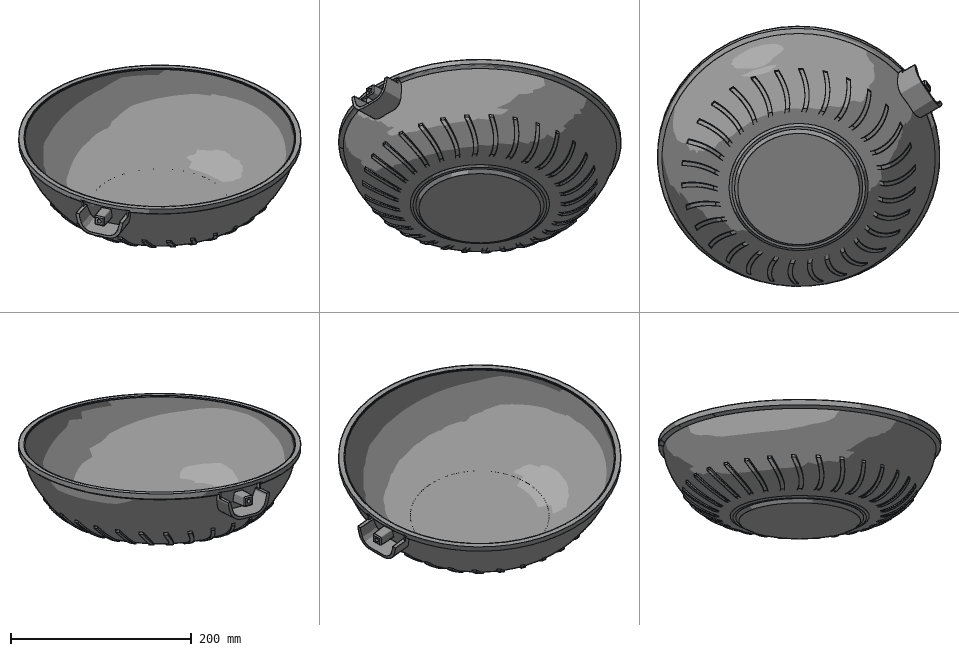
import cadquery as cq
import math


TOTAL_HEIGHT = 92.42
RIM_RADIUS = 156.315
RIM_BAND_HEIGHT = 6.2
RIM_INNER_RADIUS = 150.4
LIP_DEPTH = 1.5
LIP_RADIUS = 149.2
NECK_RADIUS = 151.2
NECK_Z = TOTAL_HEIGHT - 9.0
RIM_SWEEP = (152.9, NECK_Z + 1.5)
WALL_TOP_RADIUS = 152.0
BELLY_Z = 42.8
BELLY_RADIUS = 134.0
UPPER_BULGE = (144.6, 60.1)
LOWER_BULGE = (114.8, 20.9)
SHOULDER_RADIUS = 77.0
SHOULDER_Z = 5.5
FOOT_TOP_RADIUS = 70.9
UNDERSIDE_RADIUS = 74.0
FOOT_HEIGHT = 3.9
FOOT_RADIUS = 67.4
FLOOR_RADIUS = 66.4
FLOOR_Z = 5.0
DISH_RADIUS = 81.0
DISH_Z = 7.6
INNER_NECK_RADIUS = 149.0
INNER_NECK_Z = TOTAL_HEIGHT - 8.4
INNER_BELLY_RADIUS = 133.3
INNER_BELLY_Z = 44.6
WALL = 2.0
CAVITY_SECTORS = 2

RIB_COUNT = 30
RIB_PITCH = 360.0 / RIB_COUNT
RIB_WIDTH = 4.8
RIB_FIRST_ANGLE = 5.5
RIB_BOTTOM_Z = 8.2
RIB_OUTER = (-4.6, 129.8)
RIB_MIDDLE = (2.8, 112.8)
RIB_INNER = (-0.7, 86.3)
CREST_REACH = 12.0
CREST_TOP_RADIUS = BELLY_RADIUS + 1.8
CREST_BULGE = (115.7, 19.6)
CREST_BOTTOM_Z = SHOULDER_Z - 1.0

SOCKET_END = 326.46 - RIM_RADIUS
SOCKET_WALL_TOP_Z = TOTAL_HEIGHT - 11.3
SOCKET_HALF_WIDTH = 28.0
SOCKET_UPRIGHT_Z = TOTAL_HEIGHT - 13.8
SOCKET_BOTTOM_Z = TOTAL_HEIGHT - 34.5
SOCKET_CORNER_RADIUS = 17.0
SOCKET_FLAT_HALF = 9.5
SOCKET_SIDE_LEAN = math.radians(14.5)
CHANNEL_HALF_WIDTH = 24.1
CHANNEL_FLOOR_Z = TOTAL_HEIGHT - 31.5
CHANNEL_CORNER_RADIUS = 14.2
CHANNEL_FLAT_HALF = 8.4
CHANNEL_DRAFT = 1.0
POCKET_TOP_Z = TOTAL_HEIGHT - 4.1
POCKET_HALF_WIDTH = 26.1
COLUMN_FACE = 153.5
SOCKET_ROOT = 140.0

POST_SIZE = 13.6
POST_CENTRE_Z = TOTAL_HEIGHT - 15.4
POST_EDGE_RADIUS = 2.6
POST_DRAFT_ANGLE = 2.0
POST_END_CHAMFER = 1.4
POST_HOLE_DIAMETER = 4.5
POST_HOLE_DEPTH = 12.0


def revolve(sketch, angle=360):
    """Close a profile and turn it about the bowl axis."""
    return sketch.close().revolve(angle, (0, 0, 0), (0, 1, 0))


def bowl_shape():
    """Solid bowl: the outer wall carried up to the rim height, closed by the foot."""
    return revolve(
        cq.Workplane("XZ")
        .moveTo(0, TOTAL_HEIGHT)
        .lineTo(WALL_TOP_RADIUS, TOTAL_HEIGHT)
        .threePointArc(UPPER_BULGE, (BELLY_RADIUS, BELLY_Z))
        .threePointArc(LOWER_BULGE, (SHOULDER_RADIUS, SHOULDER_Z))
        .lineTo(UNDERSIDE_RADIUS, FOOT_HEIGHT)
        .lineTo(FOOT_TOP_RADIUS, FOOT_HEIGHT)
        .lineTo(FOOT_RADIUS, 0)
        .lineTo(0, 0)
    )


def rim():
    """Flange around the top of the wall, with a concave sweep under its edge."""
    return revolve(
        cq.Workplane("XZ")
        .moveTo(RIM_INNER_RADIUS, TOTAL_HEIGHT)
        .lineTo(RIM_RADIUS, TOTAL_HEIGHT)
        .lineTo(RIM_RADIUS, TOTAL_HEIGHT - RIM_BAND_HEIGHT)
        .threePointArc(RIM_SWEEP, (NECK_RADIUS, NECK_Z))
        .lineTo(RIM_INNER_RADIUS, NECK_Z)
    )


def cavity_sector():
    """One equal slice of the inside of the bowl."""
    return revolve(
        cq.Workplane("XZ")
        .moveTo(0, TOTAL_HEIGHT)
        .lineTo(RIM_INNER_RADIUS, TOTAL_HEIGHT)
        .lineTo(RIM_INNER_RADIUS, TOTAL_HEIGHT - LIP_DEPTH)
        .lineTo(LIP_RADIUS, TOTAL_HEIGHT - LIP_DEPTH)
        .lineTo(INNER_NECK_RADIUS, INNER_NECK_Z)
        .threePointArc((UPPER_BULGE[0] - WALL, UPPER_BULGE[1]), (INNER_BELLY_RADIUS, INNER_BELLY_Z))
        .threePointArc((LOWER_BULGE[0] - WALL / 2, LOWER_BULGE[1] + WALL), (DISH_RADIUS, DISH_Z))
        .lineTo(FLOOR_RADIUS, FLOOR_Z)
        .lineTo(0, FLOOR_Z),
        360 / CAVITY_SECTORS,
    )


def rib_strip():
    """One rib's plan shape, a bent strip of constant width, as a tall prism."""
    outer_x, outer_y = RIB_OUTER
    middle_x, middle_y = RIB_MIDDLE
    inner_x, inner_y = RIB_INNER
    half = RIB_WIDTH / 2
    return (
        cq.Workplane("XY", origin=(0, 0, RIB_BOTTOM_Z))
        .moveTo(outer_x - half, -outer_y)
        .threePointArc((middle_x - half, -middle_y), (inner_x - half, -inner_y))
        .lineTo(inner_x + half, -inner_y)
        .threePointArc((middle_x + half, -middle_y), (outer_x + half, -outer_y))
        .close()
        .extrude(BELLY_Z - RIB_BOTTOM_Z)
    )


def ribs():
    """Ribs standing proud of the lower outer wall, seated exactly on its surface."""
    crest = (
        cq.Workplane("YZ", origin=(-CREST_REACH, 0, 0))
        .moveTo(0, BELLY_Z)
        .lineTo(-CREST_TOP_RADIUS, BELLY_Z)
        .threePointArc((-CREST_BULGE[0], CREST_BULGE[1]), (-SHOULDER_RADIUS, CREST_BOTTOM_Z))
        .lineTo(0, CREST_BOTTOM_Z)
        .close()
        .extrude(2 * CREST_REACH)
    )
    rib = rib_strip().intersect(crest).cut(bowl_shape())
    angles = [RIB_FIRST_ANGLE + i * RIB_PITCH for i in range(RIB_COUNT)]
    copies = [rib.rotate((0, 0, 0), (0, 0, 1), angle).val() for angle in angles]
    return cq.Workplane(cq.Compound.makeCompound(copies))


def trough_wire(work, half_width, top_z, upright_z, bottom_z, corner_radius, flat_half):
    """U-shaped outline: upright walls, slightly leaning sides, round corners, flat floor."""
    corner_z = bottom_z + corner_radius
    middle_angle = (SOCKET_SIDE_LEAN + math.pi / 2) / 2
    side_x = flat_half + corner_radius * math.cos(SOCKET_SIDE_LEAN)
    side_z = corner_z - corner_radius * math.sin(SOCKET_SIDE_LEAN)
    arc_x = flat_half + corner_radius * math.cos(middle_angle)
    arc_z = corner_z - corner_radius * math.sin(middle_angle)
    return (
        work
        .moveTo(-half_width, top_z)
        .lineTo(-half_width, upright_z)
        .lineTo(-side_x, side_z)
        .threePointArc((-arc_x, arc_z), (-flat_half, bottom_z))
        .lineTo(flat_half, bottom_z)
        .threePointArc((arc_x, arc_z), (side_x, side_z))
        .lineTo(half_width, upright_z)
        .lineTo(half_width, top_z)
        .close()
    )


def socket_prism(end, top_z):
    """Solid U-shaped block from inside the wall out to the given distance in -Y."""
    plane = cq.Workplane("XZ", origin=(0, -SOCKET_ROOT, 0))
    outline = trough_wire(
        plane, SOCKET_HALF_WIDTH, top_z, SOCKET_UPRIGHT_Z,
        SOCKET_BOTTOM_Z, SOCKET_CORNER_RADIUS, SOCKET_FLAT_HALF,
    )
    return outline.extrude(end - SOCKET_ROOT)


def socket_space():
    """Open space of the socket: the drafted channel and the pocket above it."""
    def section(work, inset):
        return trough_wire(
            work, CHANNEL_HALF_WIDTH - inset, POCKET_TOP_Z, SOCKET_UPRIGHT_Z,
            CHANNEL_FLOOR_Z + inset, CHANNEL_CORNER_RADIUS - inset, CHANNEL_FLAT_HALF,
        )

    length = SOCKET_END - SOCKET_ROOT
    root = section(cq.Workplane("XZ", origin=(0, -SOCKET_ROOT, 0)), CHANNEL_DRAFT)
    channel = section(root.workplane(offset=length), 0).loft(ruled=True)
    pocket_height = POCKET_TOP_Z - SOCKET_WALL_TOP_Z
    pocket = (
        cq.Workplane("XY", origin=(0, -SOCKET_ROOT, SOCKET_WALL_TOP_Z))
        .rect(2 * POCKET_HALF_WIDTH, 2 * length)
        .extrude(pocket_height)
    )
    return channel.union(pocket)


def rim_notch():
    """Flat cut across the front of the rim, above the socket."""
    height = POCKET_TOP_Z - SOCKET_WALL_TOP_Z
    depth = SOCKET_END - COLUMN_FACE
    return (
        cq.Workplane("XY", origin=(0, -COLUMN_FACE - depth / 2, SOCKET_WALL_TOP_Z))
        .rect(RIM_RADIUS, depth)
        .extrude(height)
    )


def post():
    """Drafted square post with rounded long edges and a chamfered end."""
    outline = cq.Sketch().rect(POST_SIZE, POST_SIZE).vertices().fillet(POST_EDGE_RADIUS)
    return (
        cq.Workplane("XZ", origin=(0, -SOCKET_ROOT, POST_CENTRE_Z))
        .placeSketch(outline)
        .extrude(SOCKET_END - SOCKET_ROOT, taper=POST_DRAFT_ANGLE)
        .faces("<Y")
        .chamfer(POST_END_CHAMFER)
    )


def post_hole():
    """Blind hole in the end of the post."""
    return (
        cq.Workplane("XZ", origin=(0, -SOCKET_END, POST_CENTRE_Z))
        .circle(POST_HOLE_DIAMETER / 2)
        .extrude(-POST_HOLE_DEPTH)
    )


solid_bowl = bowl_shape()
body = (
    solid_bowl
    .union(ribs(), glue=True)
    .union(rim())
    .union(socket_prism(COLUMN_FACE, POCKET_TOP_Z))
    .union(socket_prism(SOCKET_END, SOCKET_WALL_TOP_Z))
    .cut(socket_space().cut(solid_bowl))
    .cut(rim_notch())
    .union(post())
    .cut(post_hole())
)
cavity_slice = cavity_sector()
for sector in range(CAVITY_SECTORS):
    body = body.cut(cavity_slice.rotate((0, 0, 0), (0, 0, 1), 90 + sector * 360 / CAVITY_SECTORS))
result = cq.Workplane(body.solids().val())